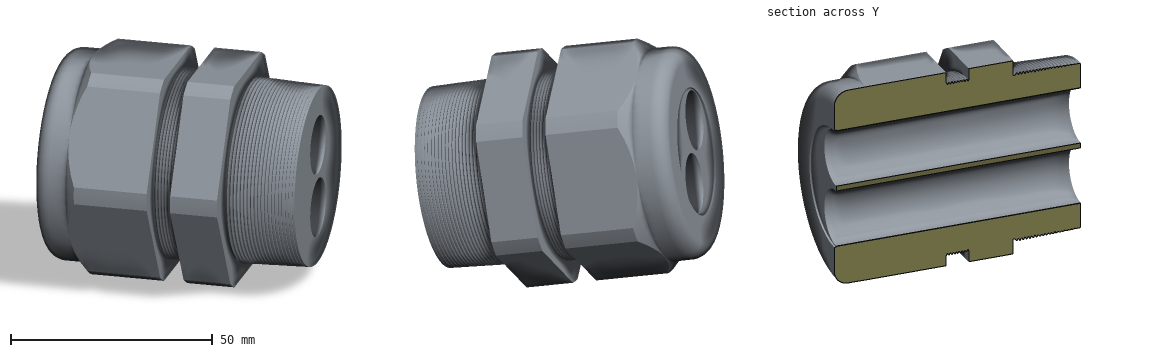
import cadquery as cq
import math

length = 66.05
hex_sides = 6
across_flats = 53.1
across_corners = 58.9
flat_radius = across_flats / 2
corner_radius = across_corners / 2

collar_end = 8.4
cap_end = 30.0
nut_start = 36.0
nut_end = 48.0

collar_fillet = 3.8

flank_angle = math.radians(60)
crest_taper = 0.036

neck_root_radius = 23.25
neck_crest_radius = 23.9
neck_groove_count = 8
neck_groove_span = 5.5
neck_pitch = neck_groove_span / (neck_groove_count - 1)
neck_first_root = 30.4

tail_root_radius = 22.5
tail_crest_radius = 23.25
tail_groove_count = 19
tail_groove_span = 16.05
tail_pitch = tail_groove_span / (tail_groove_count - 1)
undercut_radius = 0.8

insert_radius = 15.8
mouth_radius = 16.0
mouth_depth = 0.5
cable_hole_diameter = 15.0
cable_hole_spacing = 16.45


def hex_bar(start, end):
    """Hexagonal bar with two flats facing +Z and -Z and its corners turned to a cylinder."""
    sharp_corners = across_flats / math.cos(math.pi / hex_sides)
    base = cq.Workplane("YZ", origin=(start, 0, 0))
    hexagon = base.polygon(hex_sides, sharp_corners).extrude(end - start)
    turned = base.circle(corner_radius).extrude(end - start)
    return hexagon.intersect(turned)


def revolve_about_axis(profile):
    """Turn a closed XY profile, with Y as the radius, about the X axis."""
    return profile.close().revolve(360, (0, 0, 0), (1, 0, 0))


def make_cap():
    """Rounded collar followed by a hexagon with a 45 degree turned bevel."""
    collar = cq.Workplane("YZ").circle(flat_radius).extrude(collar_end)
    collar = collar.faces("<X").edges().fillet(collar_fillet)
    bevel_end = collar_end + corner_radius - flat_radius
    bevelled_envelope = revolve_about_axis(
        cq.Workplane("XY")
        .moveTo(collar_end, 0)
        .lineTo(collar_end, flat_radius)
        .lineTo(bevel_end, corner_radius)
        .lineTo(cap_end, corner_radius)
        .lineTo(cap_end, 0)
    )
    return collar.union(hex_bar(collar_end, cap_end).intersect(bevelled_envelope))


def cut_thread(profile, first_root, groove_count, pitch, root_radius, crest_start, crest_radius, end):
    """Continue a turned profile with V-grooves, then along the crest to the end and down to the axis.

    The crests follow a cone that has crest_radius at crest_start, so later grooves are shallower.
    """

    def crest_at(x):
        return crest_radius - crest_taper * (x - crest_start)

    for index in range(groove_count):
        root = first_root + index * pitch
        half_width = (crest_at(root) - root_radius) / math.tan(flank_angle)
        front = root - half_width
        back = root + half_width
        profile = profile.lineTo(front, crest_at(front))
        profile = profile.lineTo(root, root_radius)
        profile = profile.lineTo(back, crest_at(back))
    return profile.lineTo(end, crest_at(end)).lineTo(end, 0)


def make_neck():
    """Threaded neck between cap and nut; its last groove runs into the solid nut."""
    profile = cq.Workplane("XY").moveTo(cap_end, 0).lineTo(cap_end, neck_crest_radius)
    return revolve_about_axis(
        cut_thread(
            profile,
            neck_first_root,
            neck_groove_count,
            neck_pitch,
            neck_root_radius,
            cap_end,
            neck_crest_radius,
            nut_start + neck_pitch,
        )
    )


def make_tail():
    """Threaded end behind the nut; the undercut's arc runs tangent into the first flank."""
    arc_end_x = nut_end + undercut_radius * math.sin(flank_angle)
    arc_end_radius = tail_root_radius + undercut_radius * (1 - math.cos(flank_angle))
    arc_mid_x = nut_end + undercut_radius * math.sin(flank_angle / 2)
    arc_mid_radius = tail_root_radius + undercut_radius * (1 - math.cos(flank_angle / 2))
    first_crest = arc_end_x + (tail_crest_radius - arc_end_radius) / math.tan(flank_angle)
    profile = (
        cq.Workplane("XY")
        .moveTo(nut_end, 0)
        .lineTo(nut_end, tail_root_radius)
        .threePointArc((arc_mid_x, arc_mid_radius), (arc_end_x, arc_end_radius))
    )
    return revolve_about_axis(
        cut_thread(
            profile,
            first_crest + tail_pitch / 2,
            tail_groove_count,
            tail_pitch,
            tail_root_radius,
            first_crest,
            tail_crest_radius,
            length,
        )
    )


def make_housing():
    """Cap, neck, nut and tail as one piece, bored through for the insert."""
    bore = cq.Workplane("YZ").circle(insert_radius).extrude(length)
    blank = make_cap().union(make_neck()).union(hex_bar(nut_start, nut_end)).union(make_tail())
    mouth = cq.Workplane("YZ").circle(mouth_radius).extrude(mouth_depth)
    return blank.cut(bore).cut(mouth)


def make_insert():
    """Plug from the bore's mouth to the far end, with two cable holes, one above the other."""
    plug = cq.Workplane("YZ", origin=(mouth_depth, 0, 0)).circle(insert_radius).extrude(length - mouth_depth)
    cable_holes = (
        cq.Workplane("YZ").rarray(0.65, cable_hole_spacing, 1, 2).circle(cable_hole_diameter / 2).extrude(length)
    )
    return plug.cut(cable_holes)


housing = make_housing()
insert = make_insert()
result = cq.Compound.makeCompound([housing.val(), insert.val()])